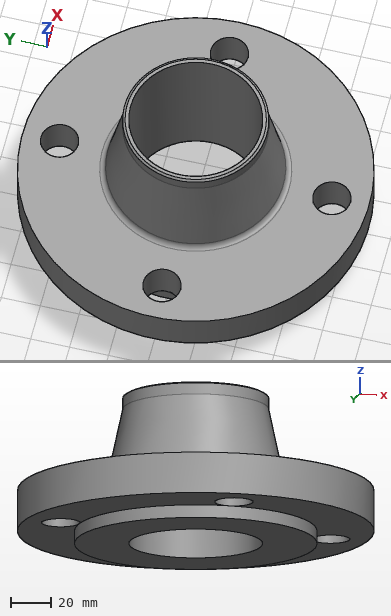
import cadquery as cq
import math

flange_diameter = 177.8
flange_thickness = 20.6
raised_face_diameter = 120.9
raised_face_height = 6.4

overall_height = 74.7
hub_base_diameter = 90.8
hub_fillet_radius = 3.0
pipe_end_diameter = 72.9
pipe_end_length = 6.4
weld_bevel_width = 1.2
weld_bevel_height = 0.7
bore_diameter = 66.7

bolt_hole_count = 4
bolt_hole_diameter = 19.0
bolt_circle_diameter = 139.7

plate_bottom = raised_face_height
plate_top = plate_bottom + flange_thickness
cone_top = overall_height - pipe_end_length


def make_disc(diameter, bottom, top):
    """Solid cylinder on the Z axis between two levels."""
    return cq.Workplane("XY").workplane(offset=bottom).circle(diameter / 2).extrude(top - bottom)


def make_hub():
    """Cone with a base fillet, a straight pipe end and a bevelled weld edge."""
    base_radius = hub_base_diameter / 2
    end_radius = pipe_end_diameter / 2

    cone_angle = math.atan2(base_radius - end_radius, cone_top - plate_top)
    half_turn = (math.pi / 2 - cone_angle) / 2
    tangent_length = hub_fillet_radius * math.tan(half_turn)
    fillet_outer_radius = base_radius + tangent_length
    fillet_center_z = plate_top + hub_fillet_radius
    fillet_middle = (
        fillet_outer_radius - hub_fillet_radius * math.sin(half_turn),
        fillet_center_z - hub_fillet_radius * math.cos(half_turn),
    )
    fillet_end = (
        base_radius - tangent_length * math.sin(cone_angle),
        plate_top + tangent_length * math.cos(cone_angle),
    )

    return (
        cq.Workplane("XZ")
        .moveTo(0, plate_bottom)
        .lineTo(fillet_outer_radius, plate_bottom)
        .lineTo(fillet_outer_radius, plate_top)
        .threePointArc(fillet_middle, fillet_end)
        .lineTo(end_radius, cone_top)
        .lineTo(end_radius, overall_height - weld_bevel_height)
        .lineTo(end_radius - weld_bevel_width, overall_height)
        .lineTo(0, overall_height)
        .close()
        .revolve(360, (0, 0), (0, 1))
    )


def make_bolt_holes():
    """Cutters for the bolt holes, the first one on the +X axis."""
    return (
        cq.Workplane("XY")
        .workplane(offset=plate_bottom)
        .polarArray(bolt_circle_diameter / 2, 0, 360, bolt_hole_count)
        .circle(bolt_hole_diameter / 2)
        .extrude(flange_thickness)
    )


raised_face = make_disc(raised_face_diameter, 0, plate_bottom)
plate = make_disc(flange_diameter, plate_bottom, plate_top)
bore = make_disc(bore_diameter, 0, overall_height)

result = raised_face.union(plate).union(make_hub()).cut(bore).cut(make_bolt_holes())